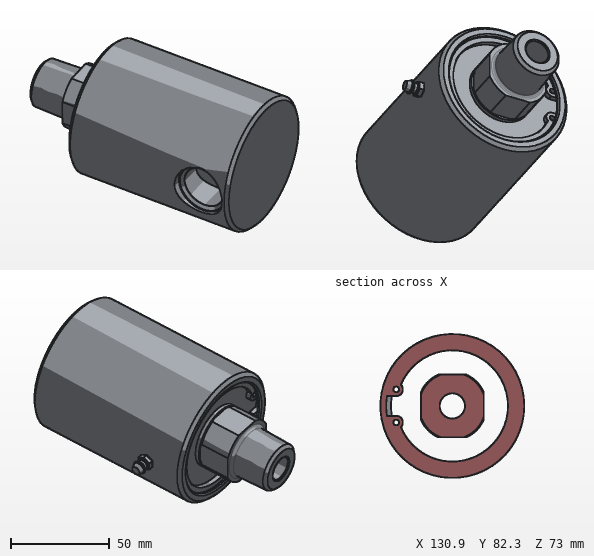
import cadquery as cq
import math


overall_length = 130.9
housing_dia = 73.0
housing_start = 36.7
housing_chamfer = 1.8

recess_dia = 62.0
recess_floor = 41.4
recess_chamfer = 0.8
ring_front = 38.6
ring_thickness = recess_floor - ring_front
ring_outer_dia = 66.9
ring_inner_dia = 56.3
ear_radius = 3.4
ear_y = -28.4
ear_z = 8.4
ear_hole_dia = 2.7

shaft_dia = 34.8
corner_chamfer = 0.8
flats_start = 21.7
flats_end = 39.3
across_flats = 32.0
nipple_tip_dia = 26.2
nipple_base_dia = 27.2
nipple_chamfer = 1.7
nipple_fillet = 1.6
bore_dia = 12.7
bore_chamfer = 0.7

port_x = 113.9
port_recess_dia = 28.0
port_recess_depth = 4.3
port_mouth_dia = 26.6
port_throat_dia = 23.3
port_dia = 22.9
port_floor_dia = 38.5

grease_x = 57.7
grease_tip_y = 45.8
grease_hex_flats = 7.2
grease_hex_top = 39.1
grease_collar_dia = 6.3
grease_collar_top = 39.9
grease_neck_dia = 5.4
grease_neck_top = 41.6
grease_flange_dia = 7.2
grease_flange_bottom = 42.5
grease_flange_top = 43.0
grease_head_dia = 6.4
grease_head_bottom = 43.3
grease_tip_dia = 4.7
grease_root_depth = 1.3


def disc(x_start, x_end, diameter):
    """Cylinder on the main axis."""
    return cq.Workplane("YZ", origin=(x_start, 0, 0)).circle(diameter / 2).extrude(x_end - x_start)


def turned_about_x(profile):
    """Solid of revolution of an open outline that starts and ends on the main axis."""
    return profile.close().revolve(360, (0, 0, 0), (1, 0, 0))


def make_housing():
    housing = disc(housing_start, overall_length, housing_dia).edges().chamfer(housing_chamfer)
    housing = housing.cut(disc(housing_start, recess_floor, recess_dia))
    mouth_radius = recess_dia / 2 + recess_chamfer
    mouth = turned_about_x(
        cq.Workplane("XY")
        .moveTo(housing_start, 0)
        .lineTo(housing_start, mouth_radius)
        .lineTo(housing_start + recess_chamfer, recess_dia / 2)
        .lineTo(housing_start + recess_chamfer, 0)
    )
    groove = disc(ring_front, ring_front + ring_thickness, ring_outer_dia)
    return housing.cut(mouth).cut(groove)


def make_snap_ring():
    """Open ring whose two ends carry round ears with plier holes."""
    plane = cq.Workplane("YZ", origin=(ring_front, 0, 0))
    outer = plane.circle(ring_outer_dia / 2).extrude(ring_thickness)
    ring = outer.cut(plane.circle(ring_inner_dia / 2).extrude(ring_thickness))
    gap_width = 2 * (ear_z - ear_radius)
    gap = plane.center(-ring_outer_dia / 2, 0).rect(ring_outer_dia, gap_width).extrude(ring_thickness)
    ring = ring.cut(gap)
    for side in (-1, 1):
        ear_plane = plane.center(ear_y, side * ear_z)
        ear = ear_plane.circle(ear_radius).extrude(ring_thickness)
        web = ear_plane.center(-ear_radius, 0).rect(2 * ear_radius, 2 * ear_radius).extrude(ring_thickness)
        hole = ear_plane.circle(ear_hole_dia / 2).extrude(ring_thickness)
        ring = ring.union(ear).union(web.intersect(outer)).cut(hole)
    return ring


def make_shaft():
    collar = disc(flats_end, recess_floor, shaft_dia)
    square_length = flats_end - flats_start
    rounding = disc(flats_start, flats_end, shaft_dia).faces(">X").chamfer(corner_chamfer)
    square = (
        cq.Workplane("YZ", origin=(flats_start, 0, 0))
        .rect(across_flats, across_flats)
        .extrude(square_length)
        .intersect(rounding)
    )
    tip_radius = nipple_tip_dia / 2
    base_radius = nipple_base_dia / 2
    fillet_start = flats_start - nipple_fillet
    arc_offset = nipple_fillet * math.sqrt(0.5)
    nipple = turned_about_x(
        cq.Workplane("XY")
        .lineTo(0, tip_radius - nipple_chamfer)
        .lineTo(nipple_chamfer, tip_radius)
        .lineTo(fillet_start, base_radius)
        .threePointArc(
            (fillet_start + arc_offset, base_radius + nipple_fillet - arc_offset),
            (flats_start, base_radius + nipple_fillet),
        )
        .lineTo(flats_start, 0)
    )
    return collar.union(square).union(nipple)


def make_bore():
    mouth_radius = bore_dia / 2 + bore_chamfer
    return turned_about_x(
        cq.Workplane("XY")
        .lineTo(0, mouth_radius)
        .lineTo(bore_chamfer, bore_dia / 2)
        .lineTo(port_x, bore_dia / 2)
        .lineTo(port_x, 0)
    )


def make_port():
    """Stepped and countersunk hole whose floor is a convex cylinder around the main axis."""
    mouth_y = -housing_dia / 2
    recess_y = mouth_y + port_recess_depth
    throat_y = recess_y + (port_mouth_dia - port_throat_dia) / 2
    port = (
        cq.Workplane("XY", origin=(port_x, 0, 0))
        .moveTo(0, mouth_y)
        .lineTo(port_recess_dia / 2, mouth_y)
        .lineTo(port_recess_dia / 2, recess_y)
        .lineTo(port_mouth_dia / 2, recess_y)
        .lineTo(port_throat_dia / 2, throat_y)
        .lineTo(port_dia / 2, throat_y)
        .lineTo(port_dia / 2, 0)
        .lineTo(0, 0)
        .close()
        .revolve(360, (0, 0, 0), (0, 1, 0))
    )
    return port.cut(disc(housing_start, overall_length, port_floor_dia))


def make_grease_nipple():
    seat_y = housing_dia / 2
    root_y = seat_y - grease_root_depth
    hexagon = (
        cq.Workplane("XZ", origin=(grease_x, seat_y, 0))
        .polygon(6, grease_hex_flats, circumscribed=True)
        .extrude(seat_y - grease_hex_top)
    )
    head = (
        cq.Workplane("XY", origin=(grease_x, 0, 0))
        .moveTo(0, root_y)
        .lineTo(grease_collar_dia / 2, root_y)
        .lineTo(grease_collar_dia / 2, grease_collar_top)
        .lineTo(grease_neck_dia / 2, grease_collar_top)
        .lineTo(grease_neck_dia / 2, grease_neck_top)
        .lineTo(grease_flange_dia / 2, grease_flange_bottom)
        .lineTo(grease_flange_dia / 2, grease_flange_top)
        .lineTo(grease_head_dia / 2, grease_head_bottom)
        .lineTo(grease_tip_dia / 2, grease_tip_y)
        .lineTo(0, grease_tip_y)
        .close()
        .revolve(360, (0, 0, 0), (0, 1, 0))
    )
    return hexagon.union(head)


result = (
    make_housing()
    .union(make_snap_ring())
    .union(make_shaft())
    .cut(make_bore())
    .cut(make_port())
    .union(make_grease_nipple())
)